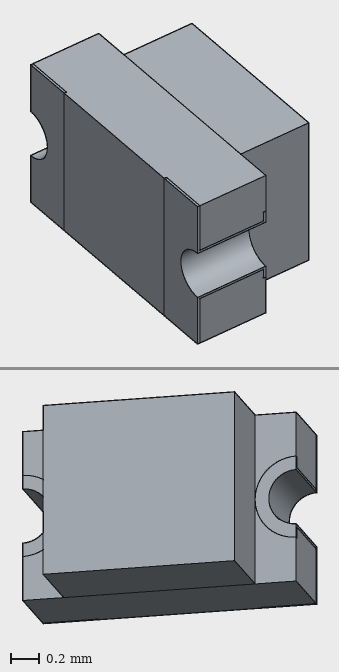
import cadquery as cq

LENGTH = 2.0
HEIGHT = 1.25
BOARD_DEPTH = 0.6
LENS_LENGTH = 1.4
LENS_DEPTH = 0.6
PLATING = 0.02
PAD_LENGTH = 0.4
NOTCH_RADIUS = 0.2
RIM_RADIUS = 0.3

BARREL_RADIUS = NOTCH_RADIUS + PLATING
FRONT_Y = -(BOARD_DEPTH + LENS_DEPTH) / 2
LENS_Y = FRONT_Y + BOARD_DEPTH
END_X = LENGTH / 2


def block(x_size, y_size, x_center, y_start):
    """Full-height block centered on Z = 0, reaching from y_start toward +Y."""
    return cq.Workplane("XY").box(x_size, y_size, HEIGHT).translate((x_center, y_start + y_size / 2, 0))


def cylinder(radius, side, y_start, y_size):
    """Cylinder along Y, centered on one end face of the board."""
    return cq.Workplane("XZ", origin=(side * END_X, y_start, 0)).circle(radius).extrude(-y_size)


def make_terminal(side):
    """Mounting pad, half-round barrel through the board and rim, as one solid."""
    pad = block(PAD_LENGTH, PLATING, side * (END_X - PAD_LENGTH / 2), FRONT_Y)
    barrel = cylinder(BARREL_RADIUS, side, FRONT_Y, BOARD_DEPTH)
    rim = cylinder(RIM_RADIUS, side, LENS_Y - PLATING, PLATING)
    notch = cylinder(NOTCH_RADIUS, side, FRONT_Y, BOARD_DEPTH)
    envelope = block(LENGTH, BOARD_DEPTH, 0, FRONT_Y)
    return pad.union(barrel).union(rim).cut(notch).intersect(envelope)


def make_board(terminals):
    """Board with open notches and recesses that fit the terminals."""
    board = block(LENGTH, BOARD_DEPTH, 0, FRONT_Y)
    for side in (-1, 1):
        board = board.cut(cylinder(NOTCH_RADIUS, side, FRONT_Y, BOARD_DEPTH))
    for terminal in terminals:
        board = board.cut(terminal)
    return board


def make_lens():
    """Plain block on the +Y face of the board."""
    return block(LENS_LENGTH, LENS_DEPTH, 0, LENS_Y)


terminals = [make_terminal(side) for side in (-1, 1)]
board = make_board(terminals)
lens = make_lens()

bodies = [board, lens, *terminals]
result = cq.Compound.makeCompound([solid for body in bodies for solid in body.solids().vals()])